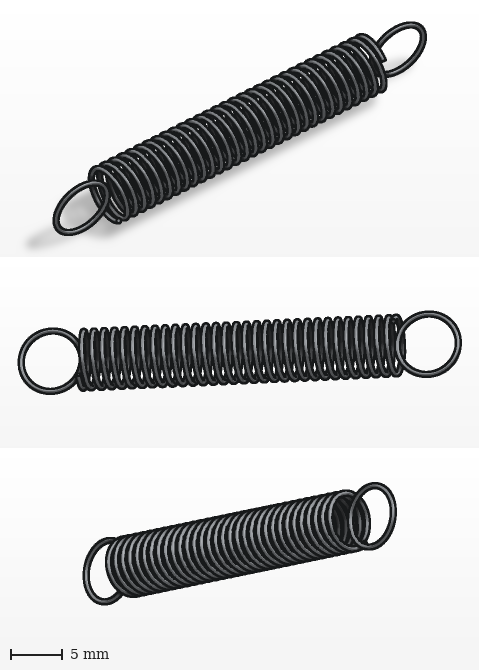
import cadquery as cq

wire_diameter = 0.5

coil_outer_diameter = 6.0
coil_pitch = 1.0
coil_turns = 31
end_arc_angle = 135.0

ring_outer_diameter = 6.5
overall_length = 43.5

coil_radius = (coil_outer_diameter - wire_diameter) / 2
coil_length = coil_pitch * coil_turns
ring_radius = (ring_outer_diameter - wire_diameter) / 2
ring_center_y = (overall_length - ring_outer_diameter) / 2

coil_frame = cq.Plane(origin=(0, -coil_length / 2, 0), xDir=(-1, 0, 0), normal=(0, 1, 0))


def coil_wire_section(height):
    """Round wire section in the radial plane of the coil frame, at the given axial height."""
    return cq.Workplane("XZ").center(coil_radius, height).circle(wire_diameter / 2)


def flat_arc(height, start_angle):
    """Arc of wire at one axial height, turning end_arc_angle onward from start_angle."""
    arc = coil_wire_section(height).revolve(
        end_arc_angle,
        (-coil_radius, 0, 0),
        (-coil_radius, 1, 0),
    )
    return arc.rotate((0, 0, 0), (0, 0, 1), start_angle)


def make_coil():
    """Pitched turns with a flat arc continuing the wire at both ends, as one solid."""
    helix = cq.Wire.makeHelix(coil_pitch, coil_length, coil_radius)
    turns = coil_wire_section(0).sweep(cq.Workplane(helix), isFrenet=True)
    first_arc = flat_arc(0, -end_arc_angle)
    last_arc = flat_arc(coil_length, 0)
    wire = turns.union(first_arc).union(last_arc)
    return wire.solids().val().moved(coil_frame.location)


def make_ring(center_y):
    """Closed round-wire ring in the YZ plane."""
    torus = cq.Solid.makeTorus(
        ring_radius,
        wire_diameter / 2,
        cq.Vector(0, center_y, 0),
        cq.Vector(1, 0, 0),
    )
    return torus


coil = make_coil()
rings = [make_ring(side * ring_center_y) for side in (-1, 1)]

result = cq.Compound.makeCompound([coil, *rings])